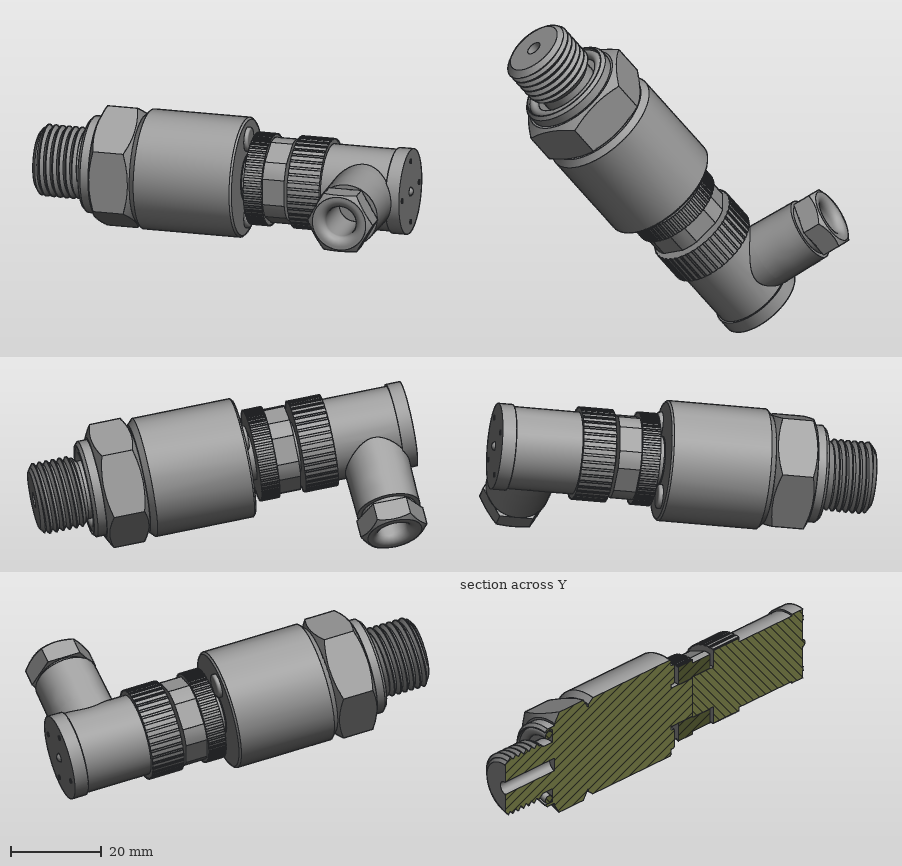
import cadquery as cq
import math

thread_crest_radius = 7.9
thread_root_radius = 7.1
thread_turns = 8
thread_run = 12.0
thread_pitch = thread_run / thread_turns
thread_land = 0.1
thread_overshoot = 0.1
thread_end_x = 9.4
thread_start_x = -1.1
tip_radius = 6.4
tip_chamfer_length = 1.1
neck_radius = 6.5
port_bore_diameter = 3.3

flange_x = 11.3
flange_radius = 10.75
flange_chamfer = 0.7
seal_tube_radius = 1.0
seal_ring_radius = 8.9
seal_floor_x = flange_x + 2 * seal_tube_radius

hex_x = 14.0
hex_end_x = 23.6
hex_corner_diameter = 27.7
hex_face_radius = 11.25
hex_chamfer_length = 1.4

housing_radius = 13.3
housing_cone_radius = 12.0
housing_cone_end_x = 24.9
housing_end_x = 47.2
housing_edge_chamfer = 0.4
collar_diameter = 10.6
collar_length = 0.25
stub_diameter = 10.75

cap_offset = 8.9
cap_base_diameter = 5.4
cap_height = 0.9
cap_edge_radius = 0.5

coupling_x = 49.2
coupling_knurl_length = 4.1
coupling_end_x = 58.2
coupling_hex_flats = 18.0
coupling_hex_round_diameter = 18.9

knurl_diameter = 20.5
knurl_groove_width = 0.5
knurl_groove_depth = 0.2
coupling_knurl_count = 54
plug_knurl_count = 40

plug_neck_diameter = 11.0
plug_knurl_x = 59.2
elbow_x = 66.5
elbow_diameter = 18.2
lid_x = 81.4
lid_end_x = 84.6
lid_diameter = 19.0
lid_button_radius = 1.0
pip_diameter = 1.0
pip_height = 0.2
pip_offset = 7.0

branch_x = 75.5
branch_base_radius = 7.25
branch_tip_radius = 7.1
branch_end = 20.1
gland_neck_diameter = 12.2
gland_x = 21.2
gland_end = 26.2
gland_flats = 13.0
gland_face_diameter = 12.2
gland_chamfer_length = 0.85
mouth_diameter = 10.75
cable_bore_diameter = 7.0
cable_bore_depth = 12.8

overall_length = 85.3


def station(x):
    """Work plane across the main axis at x: local x = Y, local y = Z."""
    return cq.Workplane(cq.Plane((x, 0, 0), (0, 1, 0), (1, 0, 0)))


def rod(x_start, x_end, diameter):
    """Cylinder on the main axis."""
    return station(x_start).circle(diameter / 2).extrude(x_end - x_start)


def turned(points):
    """Solid of revolution about the main axis from (x, radius) points."""
    return cq.Workplane("XY").polyline(points).close().revolve(360, (0, 0), (1, 0))


def branch_station(distance):
    """Work plane across the branch at a distance from the main axis: local x = X, local y = Z."""
    return cq.Workplane(cq.Plane((branch_x, -distance, 0), (1, 0, 0), (0, -1, 0)))


def branch_section():
    """Work plane along the branch axis: local x = radius, local y = distance from the main axis."""
    return cq.Workplane(cq.Plane((branch_x, 0, 0), (1, 0, 0), (0, 0, -1)))


def branch_turned(points):
    """Solid of revolution about the branch axis from (radius, distance) points."""
    return branch_section().polyline(points).close().revolve(360, (0, 0), (0, 1))


def knurled_ring(x_start, x_end, groove_count):
    """Ring with straight grooves along its rim."""
    length = x_end - x_start
    grooves = (
        station(x_start)
        .polarArray(knurl_diameter / 2, 0, 360, groove_count)
        .rect(2 * knurl_groove_depth, knurl_groove_width)
        .extrude(length)
    )
    return rod(x_start, x_end, knurl_diameter).cut(grooves)


def thread_groove():
    """Helical V groove that forms the port thread."""
    mouth_radius = thread_crest_radius + thread_overshoot
    half_mouth = (thread_pitch - thread_land) / 2
    path = cq.Wire.makeHelix(thread_pitch, thread_run, thread_root_radius)
    groove = (
        cq.Workplane("XZ")
        .polyline([
            (thread_root_radius, 0),
            (mouth_radius, half_mouth),
            (mouth_radius, -half_mouth),
        ])
        .close()
        .sweep(cq.Workplane(path), isFrenet=True)
    )
    return groove.val().moved(cq.Plane((thread_start_x, 0, 0), (0, 1, 0), (1, 0, 0)).location)


def threaded_port():
    """Threaded stem with a tapered tip and a 45 degree run down to the neck."""
    neck_x = thread_end_x + thread_crest_radius - neck_radius
    blank = turned([
        (0, 0),
        (0, tip_radius),
        (tip_chamfer_length, thread_crest_radius),
        (thread_end_x, thread_crest_radius),
        (neck_x, neck_radius),
        (seal_floor_x, neck_radius),
        (seal_floor_x, 0),
    ])
    stock = rod(-seal_floor_x, 2 * seal_floor_x, 2 * thread_crest_radius)
    threaded_stock = stock.cut(cq.Workplane(thread_groove()))
    return blank.intersect(threaded_stock)


def flange():
    recess_radius = seal_ring_radius + seal_tube_radius
    return turned([
        (flange_x, recess_radius),
        (flange_x, flange_radius - flange_chamfer),
        (flange_x + flange_chamfer, flange_radius),
        (hex_x, flange_radius),
        (hex_x, 0),
        (seal_floor_x, 0),
        (seal_floor_x, recess_radius),
    ])


def port_hexagon():
    """Hexagon with corners up and down, chamfered at both ends."""
    corner_radius = hex_corner_diameter / 2
    prism = (
        station(hex_x)
        .transformed(rotate=(0, 0, 90))
        .polygon(6, hex_corner_diameter)
        .extrude(hex_end_x - hex_x)
    )
    envelope = turned([
        (hex_x, 0),
        (hex_x, hex_face_radius),
        (hex_x + hex_chamfer_length, corner_radius),
        (hex_end_x - hex_chamfer_length, corner_radius),
        (hex_end_x, hex_face_radius),
        (hex_end_x, 0),
    ])
    return prism.intersect(envelope)


def housing():
    return turned([
        (hex_end_x, 0),
        (hex_end_x, housing_cone_radius),
        (housing_cone_end_x, housing_radius),
        (housing_end_x - housing_edge_chamfer, housing_radius),
        (housing_end_x, housing_radius - housing_edge_chamfer),
        (housing_end_x, 0),
    ])


def dome_caps():
    return (
        station(housing_end_x)
        .pushPoints([(0, cap_offset), (0, -cap_offset)])
        .circle(cap_base_diameter / 2)
        .extrude(cap_height)
        .faces(">X")
        .edges()
        .fillet(cap_edge_radius)
    )


def sensor():
    collar_end_x = housing_end_x + collar_length
    stub_end_x = coupling_x + coupling_knurl_length
    return (
        threaded_port()
        .union(flange())
        .union(port_hexagon())
        .union(housing())
        .union(dome_caps())
        .union(rod(housing_end_x, collar_end_x, collar_diameter))
        .union(rod(collar_end_x, stub_end_x, stub_diameter))
        .cut(rod(0, hex_x, port_bore_diameter))
    )


def seal_ring():
    return (
        cq.Workplane("XY")
        .center(flange_x + seal_tube_radius, seal_ring_radius)
        .circle(seal_tube_radius)
        .revolve(360, (0, -seal_ring_radius), (1, -seal_ring_radius))
    )


def coupling_nut():
    hex_start_x = coupling_x + coupling_knurl_length
    hex_corners = coupling_hex_flats / math.cos(math.radians(30))
    hexagon = (
        station(hex_start_x)
        .transformed(rotate=(0, 0, 90))
        .polygon(6, hex_corners)
        .extrude(coupling_end_x - hex_start_x)
        .intersect(rod(hex_start_x, coupling_end_x, coupling_hex_round_diameter))
    )
    return (
        knurled_ring(coupling_x, hex_start_x, coupling_knurl_count)
        .union(hexagon)
        .cut(rod(coupling_x, hex_start_x, stub_diameter))
        .cut(rod(hex_start_x, coupling_end_x, plug_neck_diameter))
    )


def elbow_body():
    neck_start_x = coupling_x + coupling_knurl_length
    return (
        rod(neck_start_x, plug_knurl_x, plug_neck_diameter)
        .union(knurled_ring(plug_knurl_x, elbow_x, plug_knurl_count))
        .union(rod(elbow_x, lid_x, elbow_diameter))
        .union(rod(lid_x, lid_end_x, lid_diameter))
    )


def lid_marks():
    """Domed button in the middle of the lid and four pips around it."""
    button_height = overall_length - lid_end_x
    sphere_radius = (lid_button_radius**2 + button_height**2) / (2 * button_height)
    sphere_x = overall_length - sphere_radius
    mid_angle = math.asin(lid_button_radius / sphere_radius) / 2
    button = (
        cq.Workplane("XY")
        .moveTo(lid_end_x, 0)
        .lineTo(lid_end_x, lid_button_radius)
        .threePointArc(
            (sphere_x + sphere_radius * math.cos(mid_angle), sphere_radius * math.sin(mid_angle)),
            (overall_length, 0),
        )
        .close()
        .revolve(360, (0, 0), (1, 0))
    )
    pips = (
        station(lid_end_x)
        .polarArray(pip_offset, 0, 360, 4)
        .circle(pip_diameter / 2)
        .extrude(pip_height)
    )
    return button.union(pips)


def branch():
    """Straight root up to the elbow surface, then a slight draft."""
    return branch_turned([
        (0, 0),
        (branch_base_radius, 0),
        (branch_base_radius, elbow_diameter / 2),
        (branch_tip_radius, branch_end),
        (0, branch_end),
    ])


def gland_nut():
    corner_diameter = gland_flats / math.cos(math.radians(30))
    prism = branch_station(gland_x).polygon(6, corner_diameter).extrude(gland_end - gland_x)
    envelope = branch_turned([
        (0, gland_x),
        (corner_diameter / 2, gland_x),
        (corner_diameter / 2, gland_end - gland_chamfer_length),
        (gland_face_diameter / 2, gland_end),
        (0, gland_end),
    ])
    neck = branch_station(branch_end).circle(gland_neck_diameter / 2).extrude(gland_x - branch_end)
    return prism.intersect(envelope).union(neck)


def cable_entry():
    """Trumpet-shaped mouth leading into the cable bore."""
    bore_radius = cable_bore_diameter / 2
    flare = mouth_diameter / 2 - bore_radius
    arc_reach = flare * (1 - math.sqrt(0.5))
    return (
        branch_section()
        .moveTo(0, gland_end - cable_bore_depth)
        .lineTo(bore_radius, gland_end - cable_bore_depth)
        .lineTo(bore_radius, gland_end - flare)
        .threePointArc(
            (bore_radius + arc_reach, gland_end - arc_reach),
            (bore_radius + flare, gland_end),
        )
        .lineTo(0, gland_end)
        .close()
        .revolve(360, (0, 0), (0, 1))
    )


def elbow_plug():
    return (
        elbow_body()
        .union(branch())
        .union(gland_nut())
        .union(lid_marks())
        .cut(cable_entry())
    )


result = cq.Compound.makeCompound([
    sensor().val(),
    seal_ring().val(),
    coupling_nut().val(),
    elbow_plug().val(),
])